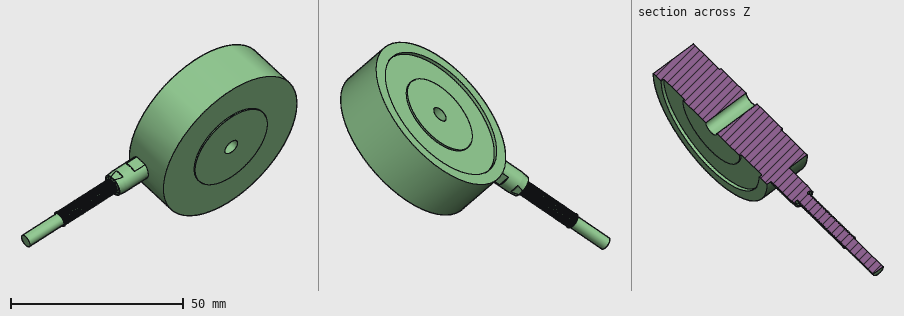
import cadquery as cq

body_diameter = 50.3
body_thickness = 15.5
recess_diameter = 43.2
recess_depth = 1.0
front_boss_diameter = 25.1
front_boss_height = 0.6
back_boss_diameter = 27.2
back_boss_height = 0.5
body_end = body_thickness + back_boss_height
hole_diameter = 4.8

body_radius = body_diameter / 2
outlet_x = 5.1
outlet_root = 2.8
total_length = 93.5

fitting_diameter = 7.1
fitting_length = 8.1
fitting_flat_width = 6.0
fitting_flat_length = 3.8

nut_end_diameter = 6.6
nut_bore_diameter = 5.7
nut_bore_depth = 0.75
nut_end = 10.5
nut_flat_width = 6.45
nut_flat_start = 7.85

sleeve_end = 30.1
sleeve_diameter = 4.5
sleeve_core_diameter = 3.9
rib_count = 24
rib_pitch = (sleeve_end - nut_end) / rib_count
rib_base_width = 0.7
rib_crest_width = 0.4

collar_diameter = 4.8
collar_length = 0.4
collar_end = sleeve_end + collar_length
cable_diameter = 3.9
cable_end = total_length - body_diameter


def disc(diameter, start, end):
    """Cylinder along X between two X positions."""
    return cq.Workplane("YZ").workplane(offset=start).circle(diameter / 2).extrude(end - start)


def outlet_plane(distance):
    """Plane across the cable axis, facing -Y, at a distance beyond the rim."""
    return cq.Workplane("XZ", origin=(outlet_x, -body_radius - distance, 0))


def rod(diameter, start, end):
    """Cylinder along the cable axis between two distances from the rim."""
    return outlet_plane(start).circle(diameter / 2).extrude(end - start)


def flats(width, start, end):
    """Block that trims the top and bottom of the outlet to two parallel flats."""
    return outlet_plane(start).rect(2 * fitting_diameter, width).extrude(end - start)


def make_body():
    body = disc(body_diameter, 0, body_thickness)
    body = body.cut(disc(recess_diameter, 0, recess_depth))
    body = body.union(disc(front_boss_diameter, recess_depth - front_boss_height, recess_depth))
    body = body.union(disc(back_boss_diameter, recess_depth, body_end))
    return body.cut(disc(hole_diameter, 0, body_end))


def make_fitting():
    """Round barrel on a neck with two wrench flats."""
    neck = rod(fitting_diameter, -outlet_root, fitting_flat_length)
    neck = neck.intersect(flats(fitting_flat_width, -outlet_root, fitting_flat_length))
    barrel = rod(fitting_diameter, fitting_flat_length, nut_flat_start)
    return neck.union(barrel)


def make_nut():
    """Tapered end of the fitting, with two flats and a shallow bore around the sleeve."""
    taper = (
        outlet_plane(fitting_length)
        .circle(fitting_diameter / 2)
        .workplane(offset=nut_end - fitting_length)
        .circle(nut_end_diameter / 2)
        .loft()
    )
    nut = rod(fitting_diameter, nut_flat_start, fitting_length).union(taper)
    nut = nut.intersect(flats(nut_flat_width, nut_flat_start, nut_end))
    return nut.cut(rod(nut_bore_diameter, nut_end - nut_bore_depth, nut_end))


def make_sleeve():
    """Ribbed sleeve revolved from its half profile, drawn in (radius, distance)."""
    core_radius = sleeve_core_diameter / 2
    rib_radius = sleeve_diameter / 2
    rib_flank = (rib_base_width - rib_crest_width) / 2
    sleeve_start = nut_end - nut_bore_depth
    axis_plane = cq.Plane(origin=(outlet_x, -body_radius, 0), xDir=(1, 0, 0), normal=(0, 0, -1))
    profile = cq.Workplane(axis_plane).moveTo(0, sleeve_start).lineTo(core_radius, sleeve_start)
    for index in range(rib_count):
        rib_start = nut_end + index * rib_pitch
        rib_end = rib_start + rib_base_width
        profile = (
            profile.lineTo(core_radius, rib_start)
            .lineTo(rib_radius, rib_start + rib_flank)
            .lineTo(rib_radius, rib_end - rib_flank)
            .lineTo(core_radius, rib_end)
        )
    profile = profile.lineTo(core_radius, sleeve_end).lineTo(0, sleeve_end).close()
    return profile.revolve(360, (0, 0), (0, 1))


def make_cable():
    collar = rod(collar_diameter, sleeve_end, collar_end)
    return collar.union(rod(cable_diameter, collar_end, cable_end))


result = (
    make_body()
    .union(make_fitting())
    .union(make_nut())
    .union(make_sleeve())
    .union(make_cable())
)